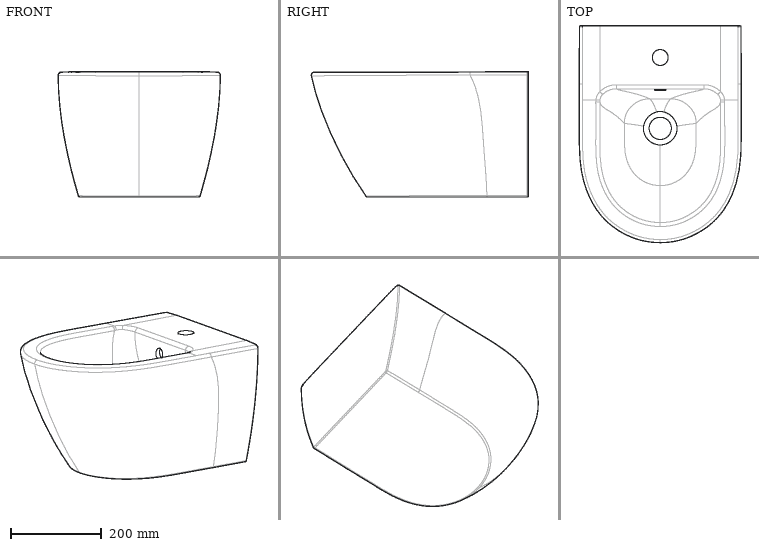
import cadquery as cq
import math


total_height = 277.0
rim_height = 275.5
deck_rise = total_height - rim_height

body_sections = [
    (0.0, 133.5, 356.0, 91.0),
    (70.0, 152.4, 400.0, 95.0),
    (140.0, 166.8, 435.0, 100.0),
    (210.0, 175.9, 462.3, 108.0),
    (rim_height, 178.67, 479.4, 132.0),
]
back_taper = 0.6
rim_rounding = 7.0
foot_rounding = 5.0
back_edge_rounding = 2.5

flank_points = [(0.998, 0.4), (0.983, 1.0)]
nose_ratio = 0.962
nose_angles = [math.radians(angle) for angle in (18, 42, 66)]

deck_half_width = 133.0
deck_foot_half_width = 171.0
deck_length = 163.0
deck_embedding = 5.0

basin_sections = [
    (total_height, 133.8, 138.0, 435.0, 164.0, 38.0),
    (240.0, 128.0, 141.5, 424.0, 177.0, 38.0),
    (200.0, 112.0, 147.0, 399.0, 188.0, 46.0),
    (159.5, 79.0, 161.0, 352.0, 215.0, 56.0),
]
bowl_sections = [
    basin_sections[-1],
    (146.0, 56.0, 174.0, 307.0, 218.0, 42.0),
    (136.0, 30.0, 197.0, 255.0, 222.0, 24.0),
]
basin_lip_rounding = 9.0

lip_half_width = 150.0
lip_back = 120.0
lip_front = 445.0
lip_clearance = 1.0

drain_distance = 226.0
drain_top_radius = 38.0
drain_radius = 24.5
drain_top = 140.0
drain_floor = 115.0
tap_distance = 70.0
tap_radius = 17.5
tap_depth = 12.5
overflow_height = 239.0
overflow_radius = 12.5
overflow_end = 132.0
overflow_reach = 155.0


def front_points(half_width, start, front):
    """Points on the right side from the flank round the nose to the centre line."""
    nose_radius = nose_ratio * half_width
    nose_centre = front - nose_radius
    flank = [(half_width * x, -start - (nose_centre - start) * y) for x, y in flank_points]
    nose = [(nose_radius * math.cos(a), -nose_centre - nose_radius * math.sin(a)) for a in nose_angles]
    return flank + nose + [(0, -front)]


def mirrored(points):
    return [(-x, y) for x, y in reversed(points)]


def body_outline(height, half_width, front, start):
    back_half_width = half_width - back_taper
    curve = front_points(half_width, start, front)
    left_curve = mirrored(curve)[1:] + [(-half_width, -start)]
    outline = cq.Workplane("XY", origin=(0, 0, height))
    outline = outline.moveTo(0, 0).lineTo(back_half_width, 0).lineTo(half_width, -start)
    outline = outline.spline(curve, tangents=[(0, -1), (-1, 0)], includeCurrent=True)
    outline = outline.spline(left_curve, tangents=[(-1, 0), (0, 1)], includeCurrent=True)
    return outline.lineTo(-back_half_width, 0).close().val()


def basin_outline(height, half_width, back, front, start, corner):
    flat = half_width - corner
    bend = 1 - math.sqrt(0.5)
    corner_middle = (half_width - corner * bend, -back - (start - back) * bend)
    right_corner = [corner_middle, (half_width, -start)]
    left_corner = mirrored([(flat, -back), corner_middle])
    curve = front_points(half_width, start, front)
    left_curve = mirrored(curve)[1:] + [(-half_width, -start)]
    outline = cq.Workplane("XY", origin=(0, 0, height))
    outline = outline.moveTo(-flat, -back).lineTo(flat, -back)
    outline = outline.spline(right_corner, tangents=[(1, 0), (0, -1)], includeCurrent=True)
    outline = outline.spline(curve, tangents=[(0, -1), (-1, 0)], includeCurrent=True)
    outline = outline.spline(left_curve, tangents=[(-1, 0), (0, 1)], includeCurrent=True)
    outline = outline.spline(left_corner, tangents=[(0, 1), (1, 0)], includeCurrent=True)
    return outline.wire().val()


def make_body():
    wires = [body_outline(*section) for section in body_sections]
    body = cq.Workplane(cq.Solid.makeLoft(wires))
    body = body.faces(">Z").edges("not >Y").fillet(rim_rounding)
    body = body.faces("<Z").edges("not >Y").fillet(foot_rounding)
    return body.faces(">Y").edges("not (>Z or <Z)").fillet(back_edge_rounding)


def deck_profile(distance, rise):
    half = [
        (deck_foot_half_width, rim_height - deck_embedding),
        (deck_foot_half_width, rim_height),
        (deck_half_width, rim_height + rise),
    ]
    points = half + [(-x, z) for x, z in reversed(half)]
    return cq.Wire.makePolygon([cq.Vector(x, -distance, z) for x, z in points], close=True)


def make_deck():
    """Low wedge whose top and side slopes fade out into the rim."""
    return cq.Workplane(cq.Solid.makeLoft([deck_profile(0, deck_rise), deck_profile(deck_length, 0)], True))


def make_basin():
    walls = [basin_outline(*section) for section in basin_sections]
    bowl = [basin_outline(*section) for section in bowl_sections]
    return cq.Workplane(cq.Solid.makeLoft(walls)).union(cq.Workplane(cq.Solid.makeLoft(bowl)))


def make_drain():
    drain = cq.Workplane("XY", origin=(0, -drain_distance, drain_top)).circle(drain_top_radius)
    return drain.workplane(offset=drain_floor - drain_top).circle(drain_radius).loft()


def make_tap_hole():
    tap = cq.Workplane("XY", origin=(0, -tap_distance, total_height - tap_depth))
    return tap.circle(tap_radius).extrude(2 * tap_depth)


def make_overflow():
    overflow = cq.Workplane("XZ", origin=(0, -overflow_end, overflow_height))
    return overflow.circle(overflow_radius).extrude(overflow_reach - overflow_end)


def round_basin_lip(part):
    nearby = cq.selectors.BoxSelector(
        (-lip_half_width, -lip_front, rim_height - lip_clearance),
        (lip_half_width, -lip_back, total_height),
        boundingbox=True,
    )
    return part.edges(nearby).fillet(basin_lip_rounding)


result = make_body().union(make_deck()).cut(make_basin())
result = round_basin_lip(result)
result = result.cut(make_drain()).cut(make_tap_hole()).cut(make_overflow())